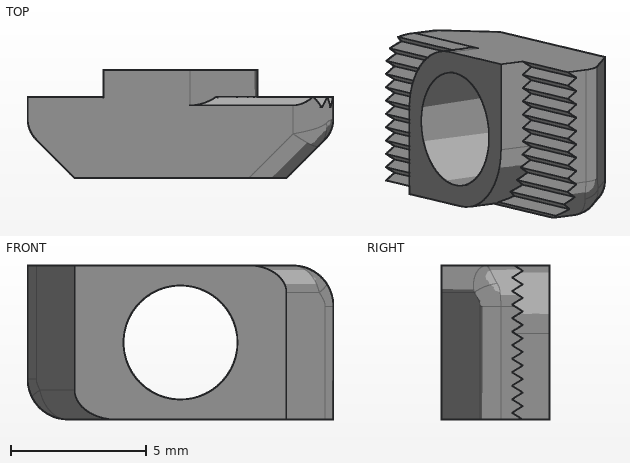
import cadquery as cq
import math

length = 11.3
thickness = 4.0
height = 5.7
half_length = length / 2
half_height = height / 2
front_y = -thickness / 2
back_y = thickness / 2

boss_depth = 1.0
flange_back_y = back_y - boss_depth
slope_run = 1.74
slope_start_y = front_y + slope_run
slope_edge_radius = 1.08

side_corner_radius = 1.5
upper_slope_corner_radius = 1.0
lower_slope_corner_radius = 1.1
boss_corner_radius = 2.5

hole_diameter = 4.2

teeth_in_height = 11.4
tooth_pitch = height / teeth_in_height
tooth_depth = 0.4
overshoot = 0.11


def centered_z_prism(points):
    return cq.Workplane("XY").polyline(points).close().extrude(half_height, both=True)


def make_flange():
    """Flange with two sloping front sides."""
    return centered_z_prism([
        (-half_length, flange_back_y),
        (half_length, flange_back_y),
        (half_length, slope_start_y),
        (half_length - slope_run, front_y),
        (slope_run - half_length, front_y),
        (-half_length, slope_start_y),
    ])


def corner_waste(radius):
    """Waste outside a round at the origin corner of +X and +Z, extending both ways along Y."""
    arc_middle = radius * (1 - math.sqrt(0.5))
    return (
        cq.Workplane("XZ")
        .moveTo(-radius, 0)
        .threePointArc((-arc_middle, -arc_middle), (0, -radius))
        .lineTo(overshoot, -radius)
        .lineTo(overshoot, overshoot)
        .lineTo(-radius, overshoot)
        .close()
        .extrude(length, both=True)
    )


def half_turn(body):
    return body.rotate((0, 0, 0), (0, 1, 0), 180)


def slope_corner_waste(radius):
    """Waste at the upper right corner, turned to run along the slope."""
    waste = corner_waste(radius).rotate((0, 0, 0), (0, 0, 1), -45)
    return waste.translate((half_length, slope_start_y, half_height))


def round_flange_corners(flange):
    """Round the side and the slope at the upper right and the lower left corner."""
    side_waste = corner_waste(side_corner_radius).translate((half_length, 0, half_height))
    flange = flange.cut(side_waste).cut(half_turn(side_waste))
    flange = flange.cut(slope_corner_waste(upper_slope_corner_radius))
    return flange.cut(half_turn(slope_corner_waste(lower_slope_corner_radius)))


def blend_slope_edges(flange):
    """Blend each side into its slope, around the rounded corner as well."""
    tolerance = 0.06
    for edge_x in (-half_length, half_length):
        edge_zone = cq.selectors.BoxSelector(
            (edge_x - tolerance, slope_start_y - tolerance, -height),
            (edge_x + tolerance, slope_start_y + tolerance, height),
        )
        flange = flange.edges(edge_zone).fillet(slope_edge_radius)
    return flange


def make_boss():
    boss = cq.Workplane("XY").box(height, boss_depth + tooth_depth, height)
    waste = corner_waste(boss_corner_radius).translate((half_height, 0, half_height))
    boss = boss.cut(waste).cut(half_turn(waste))
    return boss.translate((0, back_y - (boss_depth + tooth_depth) / 2, 0))


def make_serration_cutter():
    """All grooves of the left end; a half turn gives those of the right end."""
    half_pitch = tooth_pitch / 2
    groove_count = math.ceil(height / tooth_pitch)
    points = [(flange_back_y, half_height)]
    for index in range(groove_count):
        peak_z = half_height - index * tooth_pitch
        points.append((flange_back_y - tooth_depth, peak_z - half_pitch))
        points.append((flange_back_y, peak_z - tooth_pitch))
    points.append((flange_back_y + overshoot, points[-1][1]))
    points.append((flange_back_y + overshoot, half_height))
    return cq.Workplane("YZ").polyline(points).close().extrude(-half_length - overshoot)


flange = blend_slope_edges(round_flange_corners(make_flange()))
serrations = make_serration_cutter()
flange = flange.cut(serrations).cut(half_turn(serrations))

hole = cq.Workplane("XZ").circle(hole_diameter / 2).extrude(thickness)
hole = hole.translate((0, back_y, 0))
result = flange.union(make_boss()).cut(hole)